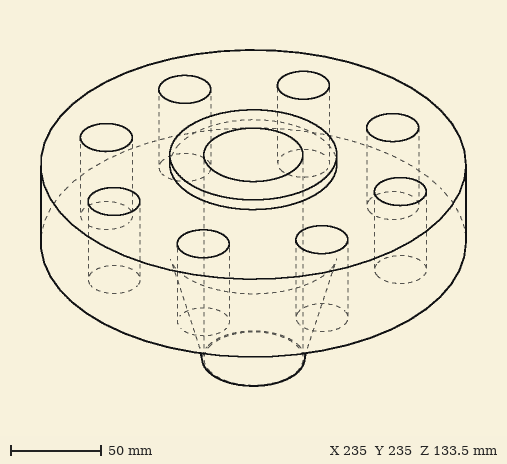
import cadquery as cq

flange_diameter = 235.0
flange_thickness = 51.0

face_diameter = 92.3
face_height = 6.3

total_height = 133.5
hub_height = total_height - flange_thickness - face_height
tip_diameter = 56.9
cone_start_diameter = 59.5
tip_height = 8.5
hub_base_diameter = 96.3
hub_fillet_radius = 9.5

bore_diameter = 54.7
bolt_hole_diameter = 28.7
bolt_circle_diameter = 171.5
bolt_count = 8


def revolved_body():
    """Disc, raised face and hub turned about Z, with the hub end at Z = 0."""
    flange_top = hub_height + flange_thickness
    profile = (
        cq.Workplane("XZ")
        .moveTo(0, 0)
        .lineTo(tip_diameter / 2, 0)
        .lineTo(cone_start_diameter / 2, tip_height)
        .lineTo(hub_base_diameter / 2, hub_height)
        .lineTo(flange_diameter / 2, hub_height)
        .lineTo(flange_diameter / 2, flange_top)
        .lineTo(face_diameter / 2, flange_top)
        .lineTo(face_diameter / 2, total_height)
        .lineTo(0, total_height)
        .close()
    )
    body = profile.revolve(360, (0, 0, 0), (0, 1, 0))
    hub_corner = cq.selectors.RadiusNthSelector(3)
    return body.edges(hub_corner).fillet(hub_fillet_radius)


def bore():
    return cq.Workplane("XY").circle(bore_diameter / 2).extrude(total_height)


def bolt_holes():
    return (
        cq.Workplane("XY")
        .workplane(offset=hub_height)
        .polarArray(bolt_circle_diameter / 2, 0, 360, bolt_count)
        .circle(bolt_hole_diameter / 2)
        .extrude(flange_thickness)
    )


result = revolved_body().cut(bore()).cut(bolt_holes())